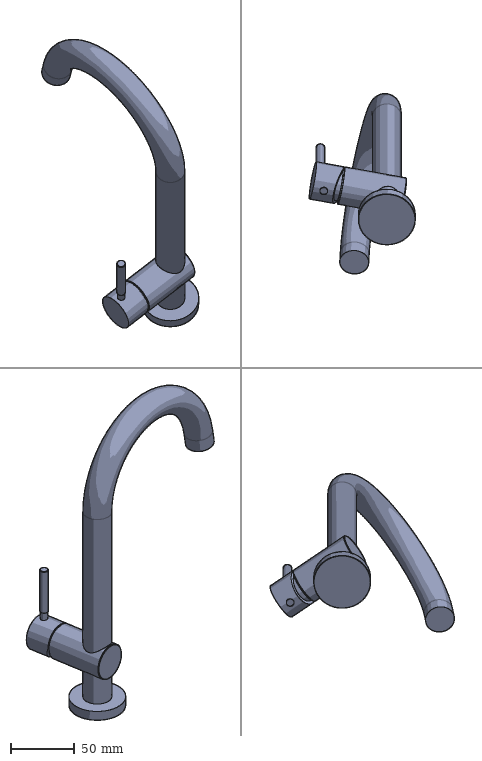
import cadquery as cq
import math

BASE_DIAMETER = 45.0
BASE_HEIGHT = 8.5
BASE_CHAMFER = 0.3
TUBE_DIAMETER = 23.0

TOTAL_HEIGHT = 257.0
BEND_RADIUS = 65.0
BEND_ANGLE = 170.0
NOZZLE_LENGTH = 11.3
BEND_START_Z = TOTAL_HEIGHT - BEND_RADIUS - TUBE_DIAMETER / 2

BODY_DIAMETER = 30.0
BODY_AXIS_Z = 45.5
BODY_BACK_Y = 13.0
BODY_CHAMFER = 0.6
BODY_FRONT_Y = -36.8
CORE_DIAMETER = 25.0
COLLAR_DIAMETER = 27.0

CAP_GAP = 1.0
CAP_BACK_Y = BODY_FRONT_Y - CAP_GAP
CAP_FRONT_Y = -59.55
CAP_RELIEF_DEPTH = 5.0

LEVER_Y = -53.5
LEVER_DIAMETER = 7.0
LEVER_BOTTOM_Z = 67.0
LEVER_TOP_Z = 106.0
LEVER_CHAMFER = 0.5
STEM_DIAMETER = 6.0

PLUG_DIAMETER = 6.2
PLUG_Y = -50.8
PLUG_PROTRUSION = 0.5


def cylinder_along_y(diameter, y_back, y_front):
    """Cylinder on the valve axis from y_back forward (towards -Y) to y_front."""
    plane = cq.Workplane("XZ", origin=(0, y_back, BODY_AXIS_Z))
    return plane.circle(diameter / 2).extrude(y_back - y_front)


def cylinder_along_z(diameter, y, z_bottom, z_top):
    """Upright cylinder in the plane X = 0."""
    plane = cq.Workplane("XY", origin=(0, y, z_bottom))
    return plane.circle(diameter / 2).extrude(z_top - z_bottom)


def make_base():
    flange = cylinder_along_z(BASE_DIAMETER, 0, 0, BASE_HEIGHT)
    return flange.faces("<Z").edges().chamfer(BASE_CHAMFER)


def make_spout():
    column = cylinder_along_z(TUBE_DIAMETER, 0, 0, BEND_START_Z)

    section = cq.Workplane("XY", origin=(0, 0, BEND_START_Z)).circle(TUBE_DIAMETER / 2)
    bend = section.revolve(BEND_ANGLE, (-BEND_RADIUS, 0, 0), (-BEND_RADIUS, -1, 0))

    angle = math.radians(BEND_ANGLE)
    bend_end = (
        -BEND_RADIUS + BEND_RADIUS * math.cos(angle),
        0,
        BEND_START_Z + BEND_RADIUS * math.sin(angle),
    )
    direction = (-math.sin(angle), 0, math.cos(angle))
    nozzle_plane = cq.Plane(origin=bend_end, xDir=(0, 1, 0), normal=direction)
    nozzle = cq.Workplane(nozzle_plane).circle(TUBE_DIAMETER / 2).extrude(NOZZLE_LENGTH)
    return column.union(bend).union(nozzle)


def make_body():
    body = cylinder_along_y(BODY_DIAMETER, BODY_BACK_Y, BODY_FRONT_Y)
    body = body.faces(">Y").edges().chamfer(BODY_CHAMFER)
    core = cylinder_along_y(CORE_DIAMETER, BODY_FRONT_Y, CAP_FRONT_Y)
    collar = cylinder_along_y(COLLAR_DIAMETER, BODY_FRONT_Y, CAP_BACK_Y)
    return body.union(collar).union(core)


def make_cap():
    cap = cylinder_along_y(BODY_DIAMETER, CAP_BACK_Y, CAP_FRONT_Y)
    underside_z = BODY_AXIS_Z - BODY_DIAMETER / 2
    relief = (
        cq.Workplane("YZ")
        .polyline([
            (CAP_BACK_Y, BODY_AXIS_Z),
            (CAP_BACK_Y, underside_z),
            (CAP_BACK_Y - CAP_RELIEF_DEPTH, underside_z),
        ])
        .close()
        .extrude(BODY_DIAMETER / 2, both=True)
    )
    return cap.cut(relief)


def make_lever():
    stem = cylinder_along_z(STEM_DIAMETER, LEVER_Y, BODY_AXIS_Z, LEVER_BOTTOM_Z)
    grip = cylinder_along_z(LEVER_DIAMETER, LEVER_Y, LEVER_BOTTOM_Z, LEVER_TOP_Z)
    grip = grip.faces("<Z or >Z").edges().chamfer(LEVER_CHAMFER)
    return stem.union(grip)


def make_plug():
    plug_bottom_z = BODY_AXIS_Z - BODY_DIAMETER / 2 - PLUG_PROTRUSION
    return cylinder_along_z(PLUG_DIAMETER, PLUG_Y, plug_bottom_z, BODY_AXIS_Z)


result = make_base()
for component in (make_spout(), make_body(), make_cap(), make_lever(), make_plug()):
    result = result.union(component)